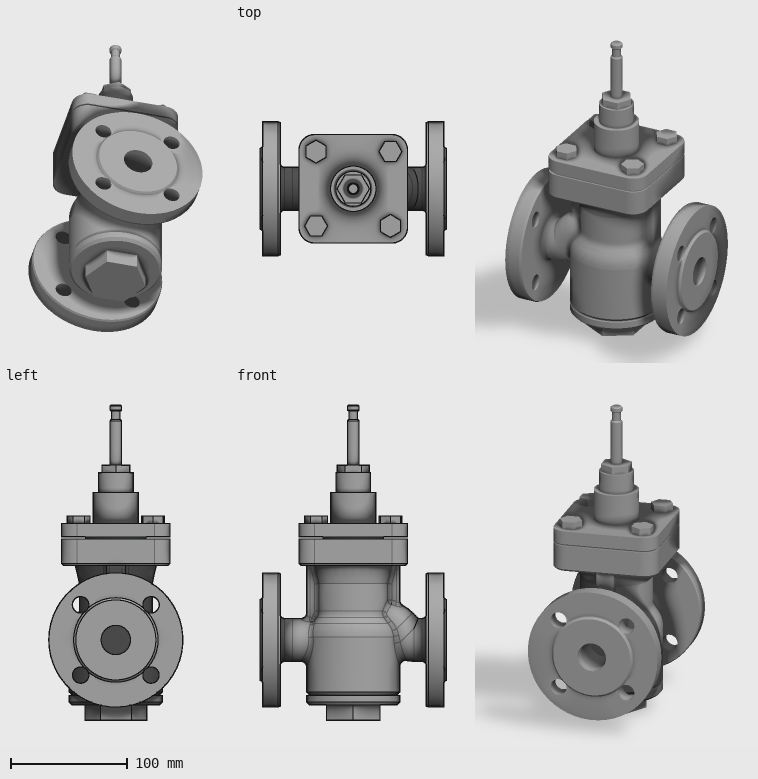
import cadquery as cq
import math

body_radius = 40.0
neck_radius = 31.3
mouth_radius = 34.8
shoulder_start = 2.7
shoulder_angle = math.radians(35)
shoulder_round = 20.0
shoulder_hollow = 10.0
neck_bottom = 24.8
neck_top = 48.3

plug_bottom = -68.8
plug_hex_flats = 46.0
cap_bottom = -55.5
cap_top = -47.5
cap_chamfer = 2.5
groove_top = -44.5
groove_depth = 3.0

plate_side = 93.2
plate_corner = 13.5
body_plate_bottom = 63.7
body_plate_top = 86.7
body_plate_chamfer = 2.0
cover_bottom = 88.3
cover_top = 100.0
gasket_radius = 52.0 / 2

bolt_spacing = 63.7
bolt_head_flats = 17.0
bolt_head_height = 6.5

bonnet_radius = 39.0 / 2
bonnet_top = 126.4
gland_radius = 30.0 / 2
gland_top = 143.5
gland_hex_flats = 24.0
gland_hex_top = 149.8
stem_radius = 10.0 / 2
stem_neck_radius = 7.5 / 2
stem_shoulder = 188.7
stem_head_bottom = 196.0
stem_top = 201.2
stem_chamfer = 1.0
stem_head_chamfer = 0.95

face_to_face = 160.0
flange_radius = 115.0 / 2
flange_thickness = 15.0
flange_chamfer = 0.8
flange_chamfer_length = 2.0
raised_face_radius = 68.5 / 2
raised_face_base_radius = 72.4 / 2
raised_face_height = 2.5
flange_hole_diameter = 14.0
flange_hole_spacing = 60.2
port_diameter = 25.0
port_depth = 40.5
pipe_radius = 37.0 / 2
pipe_flange_fillet = 3.5

elbow_start = 52.0
elbow_axis_height = 10.0
elbow_angle = 45
elbow_overlap = 8.0
rising_pipe_length = 10.3
levelling_radius = 20.0

rib_half_width = 8.0
rib_corner = 2.7
rib_fillet = 3.8
rib_fillet_bottom = 10.8
pipe_body_fillet = 4.5
seam_tolerance = 0.003
seam_checks = (0.2, 0.5, 0.8)
half_hex_turn = 30


def cylinder(radius, bottom, top):
    return cq.Workplane("XY").workplane(offset=bottom).circle(radius).extrude(top - bottom)


def hexagon(flats, bottom, top, turn=0, center=(0, 0)):
    """Hexagonal prism; at turn 0 two of its corners point along X."""
    prism = (
        cq.Workplane("XY")
        .polygon(6, flats / math.cos(math.pi / 6))
        .extrude(top - bottom)
        .rotate((0, 0, 0), (0, 0, 1), turn)
    )
    return prism.translate((center[0], center[1], bottom))


def square_plate(bottom, top):
    return (
        cq.Workplane("XY")
        .workplane(offset=bottom)
        .rect(plate_side, plate_side)
        .extrude(top - bottom)
        .edges("|Z")
        .fillet(plate_corner)
    )


def blend(base, addition, radius, lowest=plug_bottom):
    """Join two shapes and fillet the edges above `lowest` along which their surfaces meet."""
    base_surface = base.shells().val()
    addition_surface = addition.shells().val()

    def follows(edge, surface):
        points = [cq.Vertex.makeVertex(*edge.positionAt(at).toTuple()) for at in seam_checks]
        return all(surface.distance(point) < seam_tolerance for point in points)

    joined = base.union(addition)
    seam = [
        edge
        for edge in joined.edges().vals()
        if edge.BoundingBox().zmin > lowest
        and follows(edge, base_surface)
        and follows(edge, addition_surface)
    ]
    return joined.newObject(seam).fillet(radius)


def valve_body():
    """Turned shape of the body: end cap, groove, barrel, rounded shoulder, neck and flare."""
    sin_a, cos_a = math.sin(shoulder_angle), math.cos(shoulder_angle)
    sin_h, cos_h = math.sin(shoulder_angle / 2), math.cos(shoulder_angle / 2)
    round_x = body_radius - shoulder_round
    hollow_x = neck_radius + shoulder_hollow
    return (
        cq.Workplane("XZ")
        .moveTo(0, cap_bottom)
        .lineTo(body_radius - cap_chamfer, cap_bottom)
        .lineTo(body_radius, cap_bottom + cap_chamfer)
        .lineTo(body_radius, cap_top)
        .lineTo(body_radius - groove_depth, cap_top)
        .lineTo(body_radius, groove_top)
        .lineTo(body_radius, shoulder_start)
        .threePointArc(
            (round_x + shoulder_round * cos_h, shoulder_start + shoulder_round * sin_h),
            (round_x + shoulder_round * cos_a, shoulder_start + shoulder_round * sin_a),
        )
        .lineTo(hollow_x - shoulder_hollow * cos_a, neck_bottom - shoulder_hollow * sin_a)
        .threePointArc(
            (hollow_x - shoulder_hollow * cos_h, neck_bottom - shoulder_hollow * sin_h),
            (neck_radius, neck_bottom),
        )
        .lineTo(neck_radius, neck_top)
        .lineTo(mouth_radius, body_plate_bottom)
        .lineTo(0, body_plate_bottom)
        .close()
        .revolve(360, (0, 0, 0), (0, 1, 0))
    )


def ribs():
    """Upright rib on each end of the neck, flush with the barrel."""
    return (
        cq.Workplane("XY")
        .rect(2 * body_radius, 2 * rib_half_width)
        .extrude(body_plate_bottom)
        .edges("|Z")
        .fillet(rib_corner)
    )


def end_flange():
    """Outlet (+X) flange with its raised face and the fillet towards the pipe."""
    face = face_to_face / 2
    front = face - raised_face_height
    back = front - flange_thickness
    arc_x = back - pipe_flange_fillet
    arc_r = pipe_radius + pipe_flange_fillet
    reach = pipe_flange_fillet * math.sqrt(0.5)
    flange = (
        cq.Workplane("XY")
        .moveTo(elbow_start, 0)
        .lineTo(elbow_start, pipe_radius)
        .lineTo(arc_x, pipe_radius)
        .threePointArc((arc_x + reach, arc_r - reach), (back, arc_r))
        .lineTo(back, flange_radius - flange_chamfer)
        .lineTo(back + flange_chamfer_length, flange_radius)
        .lineTo(front, flange_radius)
        .lineTo(front, raised_face_base_radius)
        .lineTo(face, raised_face_radius)
        .lineTo(face, 0)
        .close()
        .revolve(360, (0, 0, 0), (1, 0, 0))
    )
    holes = (
        cq.Workplane("YZ")
        .rect(flange_hole_spacing, flange_hole_spacing, forConstruction=True)
        .vertices()
        .circle(flange_hole_diameter / 2)
        .extrude(face)
    )
    return flange.cut(holes)


def outlet_elbow():
    """Outlet pipe that turns upwards, with a sharp mitre inside the turn, then level into the neck."""
    pivot = (elbow_start, 0, elbow_axis_height)
    pivot_end = (elbow_start, 1, elbow_axis_height)
    half_chord = math.sqrt(pipe_radius**2 - elbow_axis_height**2)

    def section_to(arc_middle):
        """Part of the pipe's section between the pivot line and one extreme of the circle."""
        return (
            cq.Workplane("YZ")
            .workplane(offset=elbow_start)
            .moveTo(-half_chord, elbow_axis_height)
            .threePointArc((0, arc_middle), (half_chord, elbow_axis_height))
            .close()
        )

    turn = section_to(-pipe_radius).revolve(
        elbow_angle, (0, elbow_axis_height, 0), (1, elbow_axis_height, 0)
    )
    level_overlap = section_to(pipe_radius).extrude(-elbow_overlap)
    levelling = (
        cq.Workplane("YZ")
        .workplane(offset=elbow_start - rising_pipe_length)
        .circle(pipe_radius)
        .revolve(elbow_angle, (0, -levelling_radius, 0), (-1, -levelling_radius, 0))
    )
    rising = (
        cq.Workplane("YZ")
        .workplane(offset=elbow_start)
        .circle(pipe_radius)
        .extrude(-rising_pipe_length)
        .union(section_to(pipe_radius).extrude(elbow_overlap))
        .union(levelling)
        .rotate(pivot, pivot_end, elbow_angle)
    )
    return turn.union(level_overlap).union(rising)


outlet_flange = end_flange()
inlet_flange = outlet_flange.mirror("YZ")
inlet_pipe = cq.Workplane("YZ").circle(pipe_radius).extrude(-elbow_start)

casting = blend(valve_body(), ribs(), rib_fillet, rib_fillet_bottom)
casting = blend(casting, inlet_pipe, pipe_body_fillet)
casting = blend(casting, outlet_elbow(), pipe_body_fillet)

body_plate = square_plate(body_plate_bottom, body_plate_top).faces("<Z").chamfer(body_plate_chamfer)
gasket = cylinder(gasket_radius, body_plate_top, cover_bottom)
cover = square_plate(cover_bottom, cover_top)

result = casting.union(outlet_flange).union(inlet_flange)
result = result.union(body_plate).union(gasket).union(cover)

for side_x in (-1, 1):
    for side_y in (-1, 1):
        center = (side_x * bolt_spacing / 2, side_y * bolt_spacing / 2)
        turn = 0 if side_x == side_y else half_hex_turn
        head = hexagon(bolt_head_flats, cover_top, cover_top + bolt_head_height, turn, center)
        result = result.union(head)

bonnet = cylinder(bonnet_radius, cover_top, bonnet_top)
gland = cylinder(gland_radius, bonnet_top, gland_top)
gland_nut = hexagon(gland_hex_flats, gland_top, gland_hex_top)
stem = cylinder(stem_radius, gland_hex_top, stem_shoulder).faces(">Z").chamfer(stem_chamfer)
stem_neck = cylinder(stem_neck_radius, stem_shoulder, stem_head_bottom)
stem_head = cylinder(stem_radius, stem_head_bottom, stem_top).faces("<Z or >Z").chamfer(stem_head_chamfer)
plug_hex = hexagon(plug_hex_flats, plug_bottom, cap_bottom, half_hex_turn)
for piece in (bonnet, gland, gland_nut, stem, stem_neck, stem_head, plug_hex):
    result = result.union(piece)

for side in (-1, 1):
    bore = cq.Workplane("YZ").circle(port_diameter / 2).extrude(-side * port_depth)
    result = result.cut(bore.translate((side * face_to_face / 2, 0, 0)))